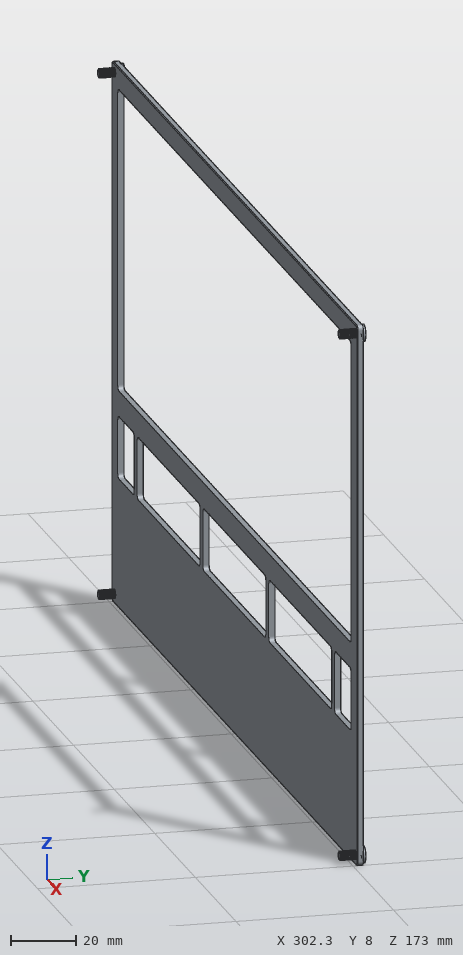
import cadquery as cq

plate_width = 302.3
plate_height = 173.0
plate_thickness = 2.0
plate_corner_radius = 1.5
rim_chamfer = 0.3

side_margin = 7.5
top_margin = 7.0
large_window_height = 96.5
window_gap = 8.2
small_window_height = 20.0
end_window_width = 20.3
mullion_width = 3.5
middle_window_count = 3
window_corner_radius = 1.5

screw_inset = 3.0
thread_crest_diameter = 3.0
thread_root_diameter = 2.35
thread_turns = 13
head_diameter = 5.5
head_height = 1.5
head_recess = 0.5
overall_depth = 8.0

window_span = plate_width - 2 * side_margin
mullion_count = middle_window_count + 1
middle_window_width = (
    window_span - 2 * end_window_width - mullion_count * mullion_width
) / middle_window_count
row_widths = [end_window_width, *[middle_window_width] * middle_window_count, end_window_width]
window_left = -window_span / 2
large_window_top = plate_height / 2 - top_margin
small_window_top = large_window_top - large_window_height - window_gap

head_front = plate_thickness - head_recess
head_rear = head_front + head_height
screw_tip = head_rear - overall_depth
screw_positions = [
    (x_side * (plate_width / 2 - screw_inset), z_side * (plate_height / 2 - screw_inset))
    for x_side in (-1, 1)
    for z_side in (-1, 1)
]


def rounded_block(left, top, width, height, radius):
    """Block as deep as the plate, placed by its upper left corner, with rounded corners."""
    return (
        cq.Workplane("XZ")
        .center(left + width / 2, top - height / 2)
        .rect(width, height)
        .extrude(-plate_thickness)
        .edges("|Y")
        .fillet(radius)
    )


def cylinder_along_y(x, z, diameter, y_start, y_end):
    """Cylinder about a Y axis, running from y_start to y_end."""
    return (
        cq.Workplane("XZ", origin=(x, y_start, z))
        .circle(diameter / 2)
        .extrude(y_start - y_end)
    )


def make_windows():
    """Cutters for the large window and the row of small windows below it."""
    windows = [
        rounded_block(
            window_left, large_window_top, window_span, large_window_height, window_corner_radius
        )
    ]
    left = window_left
    for width in row_widths:
        windows.append(
            rounded_block(left, small_window_top, width, small_window_height, window_corner_radius)
        )
        left += width + mullion_width
    return windows


def make_plate():
    """Rounded plate with a chamfered front rim, windows and a counterbored hole for each screw."""
    plate = rounded_block(
        -plate_width / 2, plate_height / 2, plate_width, plate_height, plate_corner_radius
    )
    plate = plate.faces("<Y").edges().chamfer(rim_chamfer)
    for window in make_windows():
        plate = plate.cut(window)
    for x, z in screw_positions:
        plate = plate.cut(cylinder_along_y(x, z, thread_crest_diameter, 0, plate_thickness))
        plate = plate.cut(cylinder_along_y(x, z, head_diameter, head_front, plate_thickness))
    return plate


def make_screw(x, z):
    """Screw with a flat round head and ring-shaped V threads from its tip to its head."""
    root = thread_root_diameter / 2
    crest = thread_crest_diameter / 2
    head_radius = head_diameter / 2
    pitch = (head_front - screw_tip) / thread_turns
    outline = cq.Workplane("XY").moveTo(0, screw_tip).lineTo(root, screw_tip)
    for turn in range(thread_turns):
        ridge_start = screw_tip + turn * pitch
        outline = outline.lineTo(crest, ridge_start + pitch / 2)
        outline = outline.lineTo(root, ridge_start + pitch)
    outline = outline.lineTo(head_radius, head_front).lineTo(head_radius, head_rear)
    outline = outline.lineTo(0, head_rear).close()
    return outline.revolve(360, (0, 0), (0, 1)).translate((x, 0, z))


plate = make_plate()
screws = [make_screw(x, z) for x, z in screw_positions]

result = cq.Compound.makeCompound([plate.val(), *[screw.val() for screw in screws]])